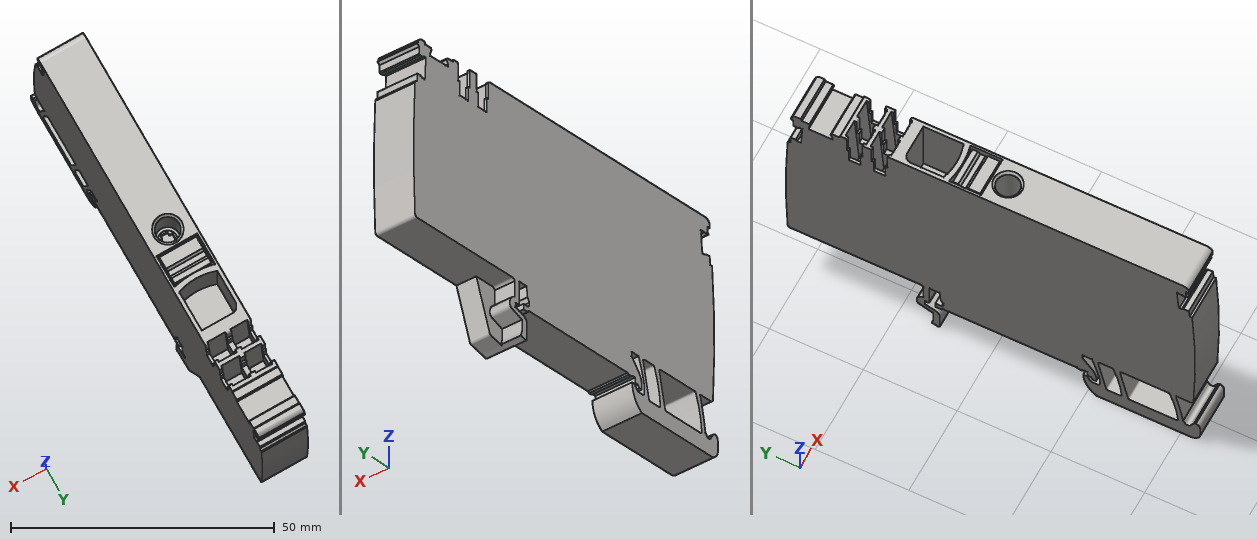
import cadquery as cq
import math

thickness = 10.0
length = 88.35
height = 53.1
body_bottom = 12.4
plate_bottom = 7.1
body_front = -42.8
body_back = 43.8
side_bulge = 0.35
foot_end = -length / 2
half_thickness = thickness / 2


def profile(start, pieces, x_from=-half_thickness, x_to=half_thickness):
    """Extrude a closed (Y, Z) outline; a piece is a point, or (via, end) for an arc."""
    sketch = cq.Workplane("YZ", origin=(x_from, 0, 0)).moveTo(*start)
    for piece in pieces:
        if isinstance(piece[0], tuple):
            sketch = sketch.threePointArc(*piece)
        else:
            sketch = sketch.lineTo(*piece)
    return sketch.close().extrude(x_to - x_from)


def housing():
    side_middle = 26.8
    front_side = [
        (-42.05, body_bottom),
        ((-42.6, 12.6), (body_front, 13.3)),
        ((body_front - side_bulge, side_middle), (-42.5, 43.0)),
        (-42.0, 43.0),
        (-41.8, 44.9),
        (-40.6, 44.8),
        (-40.3, 44.5),
        (-39.8, 44.5),
        (-39.6, 45.1),
        (-39.2, 49.6),
        (-40.3, 49.6),
        (-41.0, 49.3),
        (-41.5, 49.65),
        (-41.2, 49.9),
        (-41.2, 51.2),
        (-41.8, 51.2),
        (-41.8, 52.1),
        ((-41.4, 52.7), (-40.55, height)),
    ]
    label_groove = [
        (32.6, height),
        (32.7, 52.6),
        (34.4, 52.6),
        (34.6, 52.1),
        (34.2, 51.2),
        (34.2, 50.7),
        (39.3, 50.7),
        (39.3, 51.2),
        (39.0, 52.1),
        (39.1, 52.6),
        (40.7, 52.6),
        (41.0, height),
    ]
    back_side = [
        (42.0, height),
        ((42.5, 52.8), (42.85, 52.4)),
        (42.85, 52.0),
        (43.1, 51.7),
        (42.6, 51.15),
        (42.6, 49.6),
        (42.2, 49.4),
        (41.5, 49.4),
        (41.3, 49.65),
        (40.6, 49.65),
        (40.9, 44.6),
        (41.7, 44.6),
        (42.05, 44.9),
        (43.1, 44.9),
        (43.1, 43.2),
        (43.65, 42.9),
        (body_back, 42.5),
        ((body_back + side_bulge, side_middle), (body_back, 13.2)),
        ((43.6, 12.55), (42.85, body_bottom)),
    ]
    rail_plate = [
        (11.4, body_bottom),
        (11.1, 10.0),
        (10.6, 9.0),
        (10.6, 8.3),
        (10.95, 7.95),
        (12.3, 7.95),
        (12.3, 6.7),
        (10.95, 6.7),
        (10.8, plate_bottom),
        (-17.9, plate_bottom),
        (-18.3, 6.8),
        (-19.0, 6.8),
        (-19.35, plate_bottom),
        (-20.1, plate_bottom),
        (-20.1, 5.8),
        (-20.9, 5.8),
        (-21.3, 5.2),
        (-22.0, 5.2),
        (-22.0, 6.7),
        ((-21.7, 7.8), (-21.1, 8.8)),
        (-19.1, 11.4),
    ]
    start = (-19.1, body_bottom)
    return profile(start, front_side + label_groove + back_side + rail_plate)


web_side = 0.0


def latch():
    strip = profile(
        (13.5, body_bottom),
        [
            (13.5, 7.3),
            (13.8, plate_bottom),
            (14.6, plate_bottom),
            (14.6, 6.1),
            (12.55, 5.4),
            ((11.75, 4.95), (11.3, 4.1)),
            (11.3, 0.35),
            ((11.5, 0.1), (11.8, 0.1)),
            (13.1, 0.4),
            (12.7, 1.6),
            (12.7, 4.15),
            (15.55, 5.2),
            ((16.2, 5.7), (16.3, 6.45)),
            ((16.1, 7.25), (14.8, 8.3)),
            (14.8, 11.8),
            ((15.1, 12.2), (15.55, body_bottom)),
        ],
    )
    web = profile(
        (20.2, body_bottom),
        [
            (16.4, 1.8),
            ((16.2, 1.2), (15.7, 1.1)),
            (12.0, 0.2),
            (12.0, 4.4),
            (15.2, 5.65),
            (15.2, 7.6),
            (14.1, 8.5),
            (14.1, body_bottom),
        ],
        x_from=web_side,
    )
    return strip.union(web)


strut_front_bow = 0.7
strut_back_bow = 1.1
strut_lean = 1.85
strut_middle = 9.0
foot_floor = 3.8
strut_faces = (
    (-21.1, -22.35),
    (-25.6, -27.0),
    (-37.6, -39.05),
)


def strut_window(y_back, y_front):
    """Opening between two neighbouring struts, down to the foot floor."""
    corner = 0.4
    window = profile(
        (y_front, body_bottom),
        [
            (y_back, body_bottom),
            ((y_back - strut_front_bow, strut_middle), (y_back - strut_lean, foot_floor)),
            (y_front - strut_lean, foot_floor),
            ((y_front - strut_back_bow, strut_middle), (y_front, body_bottom)),
        ],
    )
    return window.edges("|X").fillet(corner)


def foot():
    first_back = strut_faces[0][0]
    last_front = strut_faces[-1][1]
    block = profile(
        (first_back, body_bottom),
        [
            ((first_back - strut_back_bow, strut_middle), (-22.8, 6.45)),
            (-22.8, 4.95),
            ((-22.6, 4.4), (-22.2, 4.2)),
            (-21.4, 4.2),
            ((-20.7, 4.6), (-20.2, 5.6)),
            (-19.3, 5.6),
            ((-20.05, 2.3), (-22.1, 0)),
            (-42.3, 0),
            ((-43.6, 0.6), (foot_end, 1.85)),
            (foot_end, 4.4),
            ((-43.9, 5.1), (-43.3, 5.6)),
            (-42.85, 5.3),
            (-42.05, 4.0),
            ((-41.5, 3.7), (-41.0, 4.0)),
            (-40.55, 4.6),
            ((last_front - strut_front_bow, strut_middle), (last_front, 11.8)),
            (last_front, body_bottom),
        ],
    )
    for near, far in zip(strut_faces, strut_faces[1:]):
        block = block.cut(strut_window(near[1], far[0]))
    return block


slot_floor = 45.9
slot_step = 49.1
slot_half_floor = 1.2
slot_half_top = 1.7
pocket_half_top = 2.2
pocket_floor = 40.6
slots = ((29.5, 1), (24.2, -1))
contact_pockets = ((-4.3, -0.7), (0.4, 4.3))


def plug_slot(centre, round_side):
    def at(offset):
        return centre + round_side * offset

    edge_radius = pocket_half_top - slot_half_top
    arc_inset = edge_radius * (1 - math.sqrt(0.5))
    round_middle = (at(slot_half_top + arc_inset), height - arc_inset)
    slot = profile(
        (at(-slot_half_floor), slot_floor),
        [
            (at(slot_half_floor), slot_floor),
            (at(slot_half_floor), slot_step),
            (at(slot_half_top), slot_step),
            (at(slot_half_top), height - edge_radius),
            (round_middle, (at(pocket_half_top), height)),
            (at(-slot_half_top), height),
            (at(-slot_half_top), slot_step),
            (at(-slot_half_floor), slot_step),
        ],
    )
    for x_from, x_to in contact_pockets:
        pocket = profile(
            (at(-slot_half_floor), pocket_floor),
            [
                (at(slot_half_floor), pocket_floor),
                (at(pocket_half_top), height),
                (at(-pocket_half_top), height),
            ],
            x_from,
            x_to,
        )
        slot = slot.union(pocket)
    return slot


def wire_entry():
    half_width = 4.15
    y_back = 19.5
    y_corner = 10.95
    y_middle = 10.25
    depth = 13.25
    corner_radius = 1.7
    opening = (
        cq.Workplane("XY", origin=(0, 0, height - depth))
        .moveTo(-half_width, y_corner)
        .threePointArc((0, y_middle), (half_width, y_corner))
        .lineTo(half_width, y_back)
        .lineTo(-half_width, y_back)
        .close()
        .extrude(depth)
    )
    return opening.edges("|Z and <X and >Y").fillet(corner_radius)


button_half_width = 4.1
button_front = 3.2
button_back = 9.0
button_gap = 0.4
button_sink = 0.35
button_groove_depth = 0.4
button_recess_depth = 1.8


def button_recess():
    half_width = button_half_width + button_gap
    y_front = button_front - button_gap
    y_corner = 9.6
    y_middle = 9.1
    return (
        cq.Workplane("XY", origin=(0, 0, height - button_recess_depth))
        .moveTo(-half_width, y_front)
        .lineTo(half_width, y_front)
        .lineTo(half_width, y_corner)
        .threePointArc((0, y_middle), (-half_width, y_corner))
        .close()
        .extrude(button_recess_depth)
    )


def button():
    face = height - button_sink
    groove_floor = face - button_groove_depth
    base = height - button_recess_depth
    return profile(
        (button_front, base),
        [
            (button_front, face),
            (5.7, face),
            (6.3, groove_floor),
            (7.3, groove_floor),
            (7.9, face),
            (button_back, face),
            (button_back, base),
        ],
        -button_half_width,
        button_half_width,
    )


def screw_hole():
    y_centre = -0.66
    hole_radius = 2.5
    mouth_radius = 3.0
    bevel = mouth_radius - hole_radius
    depth = 10.6
    dish_radius = 1.85
    dish_depth = 0.3
    cross_length = 2.8
    cross_width = 1.5
    cross_depth = 1.3
    head = height - depth

    def plane(z):
        return cq.Workplane("XY", origin=(0, y_centre, z))

    hole = plane(head).circle(hole_radius).extrude(depth)
    mouth = (
        plane(height - bevel)
        .circle(hole_radius)
        .workplane(offset=bevel)
        .circle(mouth_radius)
        .loft()
    )
    dish = plane(head).circle(dish_radius).extrude(-dish_depth)
    hole = hole.union(mouth).union(dish)
    for size in ((cross_length, cross_width), (cross_width, cross_length)):
        hole = hole.union(plane(head).rect(*size).extrude(-cross_depth))
    return hole


part = housing().union(latch()).union(foot())
for slot_centre, round_side in slots:
    part = part.cut(plug_slot(slot_centre, round_side))
part = part.cut(wire_entry()).cut(button_recess()).union(button()).cut(screw_hole())
result = part